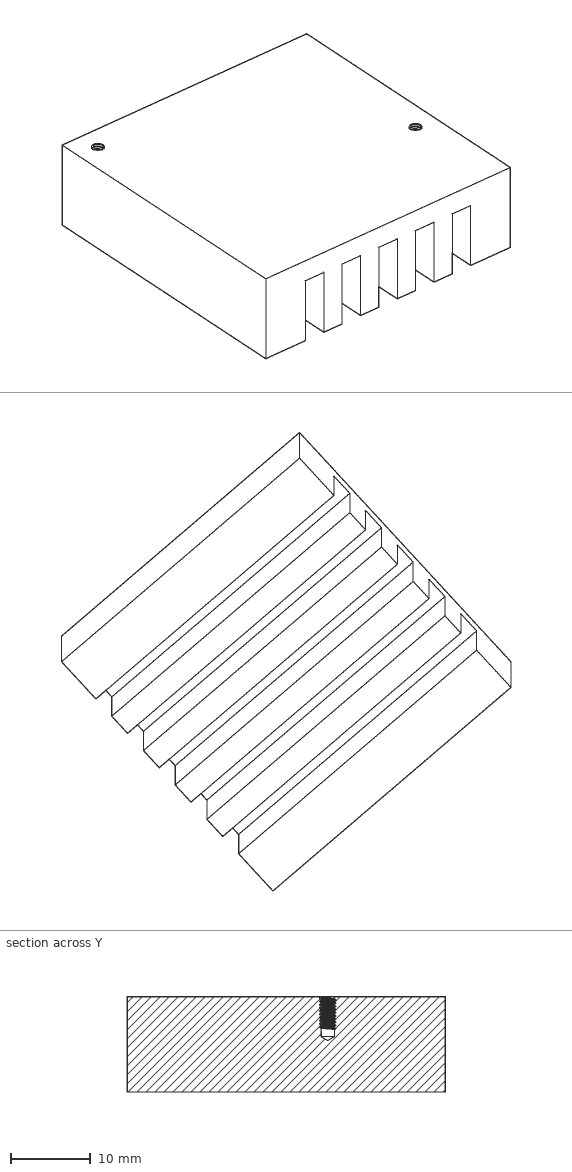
import cadquery as cq
import math

length = 40.0
width = 40.0
height = 12.0

channel_count = 5
channel_width = 3.0
fin_thickness = 3.0
plate_thickness = 3.0

drill_diameter = 1.6
drill_depth = 5.0
drill_point_angle = 118.0
thread_diameter = 2.0
thread_pitch = 0.4
thread_turns = 10
thread_angle = 60.0
thread_root_flat = thread_pitch / 8
thread_start_depth = thread_pitch / 2
groove_overlap = 0.05

hole_edge_distance = 3.2
offset_hole_x = 5.2
hole_y = width / 2 - hole_edge_distance
corner_hole_x = -(length / 2 - hole_edge_distance)
hole_centers = [(corner_hole_x, -hole_y), (offset_hole_x, hole_y)]


def make_block():
    """Rectangular block centred in X and Y, standing on Z = 0."""
    return cq.Workplane("XY").box(length, width, height, centered=(True, True, False))


def make_channels():
    """Row of channels running the full length along X, open at the bottom."""
    channel_height = height - plate_thickness
    pitch = channel_width + fin_thickness
    first_y = -pitch * (channel_count - 1) / 2
    centers = [(0, first_y + index * pitch) for index in range(channel_count)]
    return (
        cq.Workplane("XY")
        .pushPoints(centers)
        .rect(length, channel_width)
        .extrude(channel_height)
    )


def make_drilled_hole():
    """Cylinder with a conical drill point, sunk from Z = 0 along the Z axis."""
    radius = drill_diameter / 2
    point_height = radius / math.tan(math.radians(drill_point_angle / 2))
    profile = (
        cq.Workplane("XZ")
        .polyline([(0, 0), (radius, 0), (radius, -drill_depth), (0, -drill_depth - point_height)])
        .close()
    )
    return profile.revolve(360, (0, 0, 0), (0, 1, 0))


def make_thread_groove():
    """Helical V groove below Z = 0 around the Z axis, starting and ending on the -X side."""
    thread_length = thread_pitch * thread_turns
    root_radius = thread_diameter / 2
    inner_radius = drill_diameter / 2 - groove_overlap
    root_half = thread_root_flat / 2
    mouth_half = root_half + (root_radius - inner_radius) * math.tan(math.radians(thread_angle / 2))
    helix = cq.Wire.makeHelix(thread_pitch, thread_length, drill_diameter / 2)
    groove = (
        cq.Workplane("XZ")
        .polyline([
            (inner_radius, -mouth_half),
            (root_radius, -root_half),
            (root_radius, root_half),
            (inner_radius, mouth_half),
        ])
        .close()
        .sweep(cq.Workplane(helix), isFrenet=True)
    )
    return (
        groove
        .rotate((0, 0, 0), (0, 0, 1), 180)
        .translate((0, 0, -thread_start_depth - thread_length))
    )


def cut_tapped_hole(body, x, y):
    """Drill and thread one hole from the top face."""
    position = (x, y, height)
    drilled = body.cut(make_drilled_hole().translate(position))
    return drilled.cut(make_thread_groove().translate(position))


result = make_block().cut(make_channels())
for center_x, center_y in hole_centers:
    result = cut_tapped_hole(result, center_x, center_y)